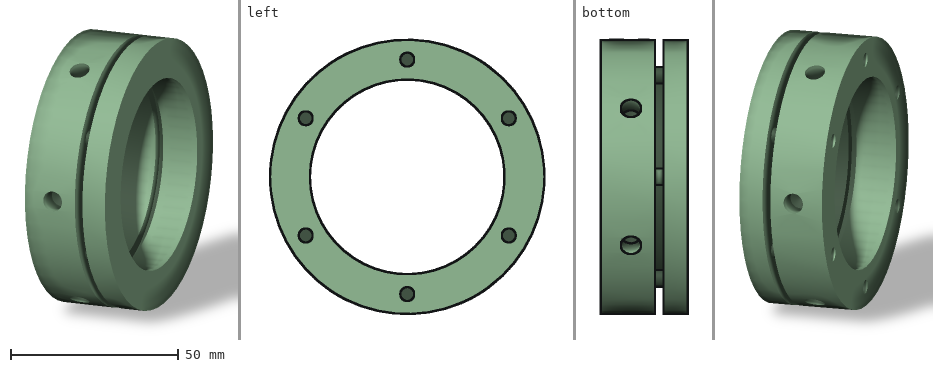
import cadquery as cq
import math

outer_radius = 82.0 / 2
bore_radius = 29.0
main_flange_width = 16.2
outer_groove_width = 2.5
end_flange_width = 7.3
total_width = main_flange_width + outer_groove_width + end_flange_width

sleeve_radius = 32.1

bore_groove_start = 12.5
bore_groove_width = outer_groove_width
bore_groove_radius = sleeve_radius

pin_count = 6
pin_circle_radius = 35.0
pin_radius = 5.0 / 2
access_hole_radius = 4.2 / 2
pin_angles = [90 + i * 360 / pin_count for i in range(pin_count)]

radial_hole_count = pin_count
radial_hole_radius = 3.0
radial_hole_x = 9.0
radial_hole_depth = 6.6
drill_point_angle = 118.0
drill_overrun = 0.8
radial_hole_angles = [i * 360 / radial_hole_count for i in range(radial_hole_count)]


def disc(radius, start_x, width):
    """Solid disc about the X axis."""
    return cq.Workplane("YZ", origin=(start_x, 0, 0)).circle(radius).extrude(width)


def ring(outer, inner, start_x, width):
    """Flat ring about the X axis."""
    return disc(outer, start_x, width).cut(disc(inner, start_x, width))


def pin_cylinder(radius, angle, start_x, length):
    """Cylinder parallel to X on the pin circle; the angle runs from +Y to +Z."""
    y = pin_circle_radius * math.cos(math.radians(angle))
    z = pin_circle_radius * math.sin(math.radians(angle))
    return cq.Workplane("YZ", origin=(start_x, y, z)).circle(radius).extrude(length)


def radial_drill(angle):
    """Drill shape pointing at the X axis: a cylinder that ends in a cone."""
    shoulder = outer_radius - radial_hole_depth
    tip = shoulder - radial_hole_radius / math.tan(math.radians(drill_point_angle / 2))
    top = outer_radius + drill_overrun
    half_profile = (
        cq.Workplane("XY", origin=(radial_hole_x, 0, 0))
        .moveTo(0, tip)
        .lineTo(radial_hole_radius, shoulder)
        .lineTo(radial_hole_radius, top)
        .lineTo(0, top)
        .close()
    )
    drill = half_profile.revolve(360, (0, 0, 0), (0, 1, 0))
    return drill.rotate((0, 0, 0), (1, 0, 0), angle)


def make_housing():
    """Two flanges joined by a thin sleeve, with all grooves and holes."""
    body = ring(outer_radius, bore_radius, 0, total_width)
    body = body.cut(ring(outer_radius, sleeve_radius, main_flange_width, outer_groove_width))
    body = body.cut(disc(bore_groove_radius, bore_groove_start, bore_groove_width))
    for angle in pin_angles:
        body = body.cut(pin_cylinder(access_hole_radius, angle, 0, main_flange_width))
    for angle in radial_hole_angles:
        body = body.cut(radial_drill(angle))
    return body


def make_pin(angle):
    """Pin that spans the outer groove from flange to flange."""
    return pin_cylinder(pin_radius, angle, main_flange_width, outer_groove_width)


housing = make_housing()
pins = [make_pin(angle) for angle in pin_angles]

result = cq.Compound.makeCompound([housing.val(), *[pin.val() for pin in pins]])